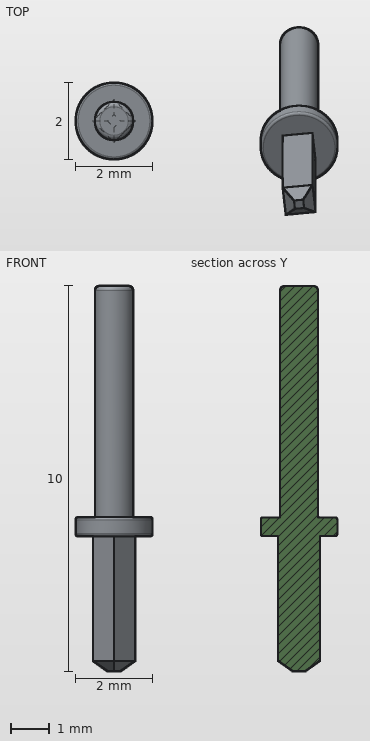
import cadquery as cq

total_length = 10.0
pin_diameter = 1.0
pin_edge_round = 0.13
collar_diameter = 2.0
collar_bottom = 3.5
collar_thickness = 0.5
collar_edge_round = 0.07
tail_side = 0.78
tail_turn = 45.0
tip_height = 0.27
tip_side = tail_side - 2 * tip_height

bottom_z = -total_length / 2
collar_z = bottom_z + collar_bottom
pin_z = collar_z + collar_thickness
pin_length = total_length - collar_bottom - collar_thickness


def make_pin():
    """Round pin with a rounded top edge."""
    pin = cq.Workplane("XY").workplane(offset=pin_z).circle(pin_diameter / 2).extrude(pin_length)
    return pin.faces(">Z").edges().fillet(pin_edge_round)


def make_collar():
    """Round collar with both rims rounded."""
    collar = cq.Workplane("XY").workplane(offset=collar_z).circle(collar_diameter / 2)
    return collar.extrude(collar_thickness).edges("%CIRCLE").fillet(collar_edge_round)


def make_tail():
    """Square tail with a blunt pyramid tip, its corners pointing along X and Y."""
    shank = (
        cq.Workplane("XY")
        .workplane(offset=bottom_z + tip_height)
        .rect(tail_side, tail_side)
        .extrude(collar_bottom - tip_height)
    )
    tip = (
        cq.Workplane("XY")
        .workplane(offset=bottom_z)
        .rect(tip_side, tip_side)
        .workplane(offset=tip_height)
        .rect(tail_side, tail_side)
        .loft(ruled=True)
    )
    return shank.union(tip).rotate((0, 0, 0), (0, 0, 1), tail_turn)


result = make_pin().union(make_collar()).union(make_tail())